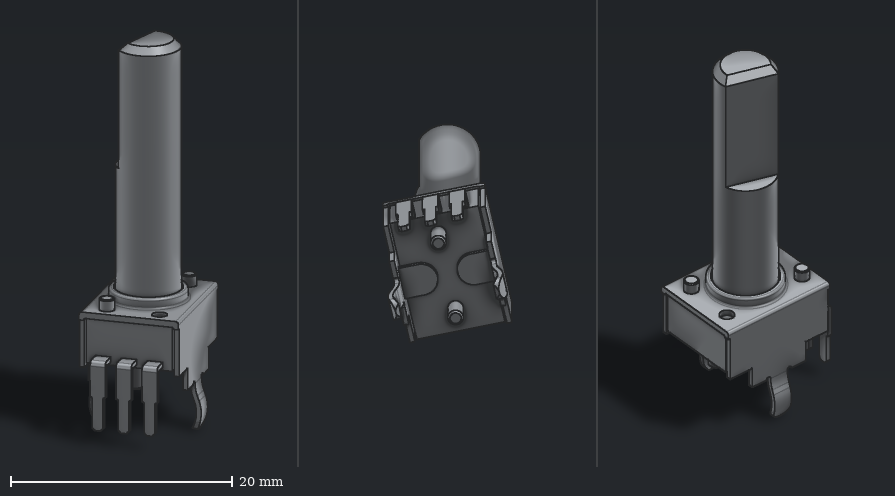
import cadquery as cq
import math


total_width = 10.65
total_depth = 13.5
total_height = 36.8

shaft_diameter = 6.0
shaft_top = 24.65
shaft_chamfer = 0.7
flat_distance = 1.5
flat_bottom = 12.65
flat_turn = 162.7

bush_diameter = 7.2
bush_bore = 6.3
bush_height = 1.0
bush_round = 0.2

bracket_width = 9.45
plate_length = 12.0
wall_length = 11.55
plate_thickness = 0.6
wall_thickness = 0.48
bend_outer = 0.3
bend_inner = 0.2
lip_bottom = -plate_thickness - bend_inner
wall_bottom = -5.35
tab_length = 6.33
tab_bottom = -7.47
relief_radius = 0.24
wall_outer = bracket_width / 2
wall_inner = wall_outer - wall_thickness

leg_width = 2.0
leg_reach = total_width / 2
leg_bottom = shaft_top - total_height
leg_slant = math.radians(20)
flare_radius = 3.68
bulge_radius = 3.2

flap_width = 3.0
flap_tip = 0.92

body_width = 8.17
body_bottom = -4.9

peg_diameter = 1.4
peg_chamfer = 0.1
top_peg_height = 1.1
peg_x = 2.5
front_peg_y = -4.55
back_peg_y = 4.3
foot_bottom = -7.45
foot_chamfer = 0.2
foot_ys = (-3.95, 3.5)

terminal_pitch = 2.45
terminal_thickness = 0.48
terminal_front = plate_length / 2 - total_depth
terminal_top = -4.1
terminal_bend = 0.45
terminal_inner_bend = 0.2
terminal_width = 1.45
terminal_step = -7.47
pin_width = 1.03
pin_bottom = -10.67
pin_chamfer = 0.25
pin_shoulder_round = 0.15


def block(x_range, y_range, z_range):
    """Box between two limits along each axis."""
    low, high = zip(x_range, y_range, z_range)
    size = [b - a for a, b in zip(low, high)]
    return cq.Workplane().box(*size, centered=False).translate(low)


def rod(diameter, bottom, top, x=0, y=0):
    """Upright cylinder."""
    return cq.Workplane(origin=(x, y, bottom)).circle(diameter / 2).extrude(top - bottom)


def shaft():
    radius = shaft_diameter / 2
    flat_cut = block((flat_distance, radius), (-radius, radius), (flat_bottom, shaft_top))
    flat_cut = flat_cut.rotate((0, 0, 0), (0, 0, 1), flat_turn)
    bar = rod(shaft_diameter, -plate_thickness, shaft_top).cut(flat_cut)
    return bar.faces(">Z").chamfer(shaft_chamfer)


def bush():
    collar = rod(bush_diameter, 0, bush_height).faces(">Z").edges().fillet(bush_round)
    radius = bush_diameter / 2
    foot_radius = radius + bush_round
    middle = bush_round * (1 - math.sqrt(0.5))
    foot = (
        cq.Workplane("XZ")
        .lineTo(foot_radius, 0)
        .threePointArc((radius + middle, middle), (radius, bush_round))
        .lineTo(0, bush_round)
        .close()
        .revolve(360, (0, 0, 0), (0, 1, 0))
    )
    return collar.union(foot).cut(rod(bush_bore, 0, bush_height))


def bracket():
    channel = block(
        (-wall_outer, wall_outer), (-plate_length / 2, plate_length / 2), (tab_bottom, 0)
    )
    channel = channel.edges("|Y and >Z").fillet(bend_outer)
    hollow = block(
        (-wall_inner, wall_inner), (-plate_length / 2, plate_length / 2), (tab_bottom, -plate_thickness)
    )
    channel = channel.cut(hollow.edges("|Y and >Z").fillet(bend_inner))

    for side in (-1, 1):
        for half_length, top in ((wall_length / 2, lip_bottom), (tab_length / 2, wall_bottom)):
            ends = sorted((side * half_length, side * plate_length / 2))
            channel = channel.cut(block((-wall_outer, wall_outer), ends, (tab_bottom, top)))
        relief = (
            cq.Workplane("YZ", origin=(-wall_outer, 0, 0))
            .center(side * (leg_width / 2 + relief_radius), tab_bottom)
            .circle(relief_radius)
            .extrude(bracket_width)
        )
        channel = channel.cut(relief)

    for x, y in ((-peg_x, back_peg_y), (peg_x, front_peg_y)):
        channel = channel.cut(rod(peg_diameter, -plate_thickness, 0, x, y))
    return channel


def spring_leg():
    """Leg on the +X side: flares outward, runs straight, then curls back in."""
    half = wall_thickness / 2
    start_x = wall_outer - half
    sideways = leg_reach - wall_outer
    turn_sideways = (flare_radius + bulge_radius) * (1 - math.cos(leg_slant))
    straight = (sideways - turn_sideways) / math.sin(leg_slant)

    flare_x = start_x + flare_radius
    bulge_x = leg_reach - half - bulge_radius
    bulge_z = (
        tab_bottom
        - (flare_radius + bulge_radius) * math.sin(leg_slant)
        - straight * math.cos(leg_slant)
    )
    curl = math.asin((bulge_z - leg_bottom) / (bulge_radius + half))

    def flare(radius, angle):
        return flare_x - radius * math.cos(angle), tab_bottom - radius * math.sin(angle)

    def bulge(radius, angle):
        return bulge_x + radius * math.cos(angle), bulge_z + radius * math.sin(angle)

    flare_out, flare_in = flare_radius - half, flare_radius + half
    bulge_out, bulge_in = bulge_radius + half, bulge_radius - half
    strip = (
        cq.Workplane("XZ")
        .moveTo(*flare(flare_out, 0))
        .threePointArc(flare(flare_out, leg_slant / 2), flare(flare_out, leg_slant))
        .lineTo(*bulge(bulge_out, leg_slant))
        .threePointArc(bulge(bulge_out, 0), bulge(bulge_out, -curl))
        .lineTo(*bulge(bulge_in, -curl))
        .threePointArc(bulge(bulge_in, 0), bulge(bulge_in, leg_slant))
        .lineTo(*flare(flare_in, leg_slant))
        .threePointArc(flare(flare_in, leg_slant / 2), flare(flare_in, 0))
        .close()
        .extrude(leg_width / 2, both=True)
    )
    rounded_end = (
        cq.Workplane("YZ")
        .moveTo(-leg_width / 2, tab_bottom)
        .lineTo(-leg_width / 2, leg_bottom + leg_width / 2)
        .threePointArc((0, leg_bottom), (leg_width / 2, leg_bottom + leg_width / 2))
        .lineTo(leg_width / 2, tab_bottom)
        .close()
        .extrude(leg_reach)
    )
    return strip.intersect(rounded_end)


def flap():
    """Round-ended flap on the +X side, bent in under the body."""
    tip_centre = flap_tip + flap_width / 2
    strip = block(
        (tip_centre, wall_outer), (-flap_width / 2, flap_width / 2), (wall_bottom, body_bottom)
    )
    return strip.union(rod(flap_width, wall_bottom, body_bottom, tip_centre))


def body():
    housing = block(
        (-body_width / 2, body_width / 2),
        (-wall_length / 2, wall_length / 2),
        (body_bottom, -plate_thickness),
    )
    for x, y in ((-peg_x, front_peg_y), (peg_x, back_peg_y)):
        peg = rod(peg_diameter, -plate_thickness, top_peg_height, x, y)
        housing = housing.union(peg.faces(">Z").chamfer(peg_chamfer))
    for y in foot_ys:
        foot = rod(peg_diameter, foot_bottom, body_bottom, 0, y)
        housing = housing.union(foot.faces("<Z").chamfer(foot_chamfer))
    return housing


def terminal(x):
    """L-shaped strip narrowed to a pin at its lower end."""
    root = -wall_length / 2
    back = terminal_front + terminal_thickness
    sides = (-terminal_width / 2, terminal_width / 2)
    strip = block(sides, (terminal_front, root), (pin_bottom, terminal_top))
    strip = strip.edges("|X and >Z and <Y").fillet(terminal_bend)
    inside = block(sides, (back, root), (pin_bottom, terminal_top - terminal_thickness))
    strip = strip.cut(inside.edges("|X and >Z and <Y").fillet(terminal_inner_bend))

    outline = block(sides, (terminal_front, root), (terminal_step, terminal_top))
    pin = block((-pin_width / 2, pin_width / 2), (terminal_front, root), (pin_bottom, terminal_step))
    outline = outline.union(pin.edges("|Y and <Z").chamfer(pin_chamfer))
    mid_shoulder = (pin_width + terminal_width) / 4
    inner_corners = cq.selectors.BoxSelector(
        (-mid_shoulder, terminal_front, terminal_step - pin_shoulder_round),
        (mid_shoulder, root, terminal_step + pin_shoulder_round),
    )
    outline = outline.edges("|Y").edges(inner_corners).fillet(pin_shoulder_round)
    return strip.intersect(outline).translate((x, 0, 0))


result = bracket().union(body()).union(shaft()).union(bush())
for side_part in (spring_leg(), flap()):
    result = result.union(side_part).union(side_part.mirror("YZ"))
for position in (-1, 0, 1):
    result = result.union(terminal(position * terminal_pitch))